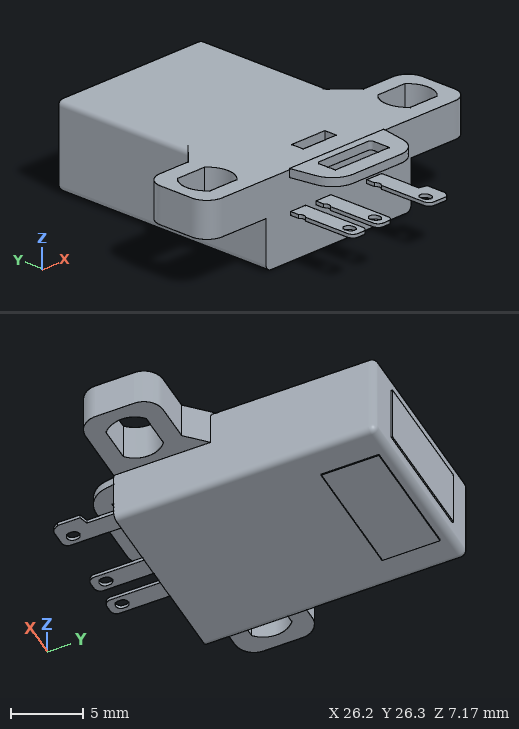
import cadquery as cq
import math


body_width = 14.5
body_length = 20.2
body_height = 6.97
edge_radius = 0.5

ear_span = 26.2
ear_depth = 6.0
ear_thickness = 2.95
ear_corner_radius = 1.5
flare_foot = 8.73
slot_spacing = 20.0
slot_diameter = 4.1
slot_height = 3.1

pocket_width = 3.31
pocket_length = 1.1
pocket_depth = 0.7
pocket_center_y = 2.37

pad_width = 9.52
pad_length = 4.47
pad_thickness = 0.1
rear_pad_z = 1.24
bottom_pad_rear_gap = 0.95

tab_center_x = -0.2
tab_root_width = 9.42
tab_reach = 3.87
tab_thickness = 0.68
tab_rise = 0.1
tab_side_angle = 10
tab_corner_radius = 2.0
window_width = 5.4
window_near_y = -0.68
window_length = 1.8
window_corner_radius = 0.25

terminal_reach = 6.0
terminal_width = 1.5
terminal_thickness = 0.3
terminal_z = 3.5
terminal_radius = 0.5
terminal_embed = 0.25
first_terminal_x = -4.05
terminal_gap = 2.52
wide_terminal_gap = 5.08
eyelet_width = 0.8
eyelet_length = 0.97
eyelet_y = -4.95
notch_start_y = -0.74
notch_length = 0.68
notch_depth = 0.15
shoulder_width = 0.68
shoulder_y = -3.52
shoulder_drop = 0.18
shoulder_bevel_x = 0.35
shoulder_bevel_y = 0.55


def make_body():
    body = cq.Workplane("XY").box(body_width, body_length, body_height, centered=(True, False, False))
    return body.edges("|Y or >Y").fillet(edge_radius)


def make_ears():
    """Flange across the front, flaring at 45 degrees into the flat top of the body."""
    half_span = ear_span / 2
    half_top = body_width / 2 - edge_radius
    flare_end_y = ear_depth + flare_foot - half_top
    outline = [
        (-half_span, 0),
        (half_span, 0),
        (half_span, ear_depth),
        (flare_foot, ear_depth),
        (half_top, flare_end_y),
        (-half_top, flare_end_y),
        (-flare_foot, ear_depth),
        (-half_span, ear_depth),
    ]
    plate_bottom = cq.Workplane("XY").workplane(offset=body_height - ear_thickness)
    plate = plate_bottom.polyline(outline).close().extrude(ear_thickness)
    return plate.edges("|Z and (<X or >X)").fillet(ear_corner_radius)


def make_slots():
    """Round mounting holes with flats at the front and rear."""
    centers = [(side * slot_spacing / 2, ear_depth / 2) for side in (-1, 1)]
    base = cq.Workplane("XY").pushPoints(centers)
    rounds = base.circle(slot_diameter / 2).extrude(body_height)
    flats = base.rect(slot_diameter, slot_height).extrude(body_height)
    return rounds.intersect(flats)


def make_pocket():
    pocket_floor = cq.Workplane("XY").workplane(offset=body_height - pocket_depth)
    return pocket_floor.center(0, pocket_center_y).rect(pocket_width, pocket_length).extrude(pocket_depth)


def make_pads():
    corner_x = -pad_width / 2
    rear = cq.Workplane("XY").box(pad_width, pad_thickness, pad_length, centered=False)
    rear = rear.translate((corner_x, body_length, rear_pad_z))
    bottom = cq.Workplane("XY").box(pad_width, pad_length, pad_thickness, centered=False)
    bottom_pad_y = body_length - bottom_pad_rear_gap - pad_length
    bottom = bottom.translate((corner_x, bottom_pad_y, -pad_thickness))
    return rear.union(bottom)


def make_tab():
    """Tapered tab on the front face, standing slightly above the top of the body."""
    half_root = tab_root_width / 2
    half_tip = half_root - tab_reach * math.tan(math.radians(tab_side_angle))
    outline = [(-half_root, 0), (half_root, 0), (half_tip, -tab_reach), (-half_tip, -tab_reach)]
    tab = cq.Workplane("XY").polyline(outline).close().extrude(tab_thickness)
    tab = tab.edges("|Z and <Y").fillet(tab_corner_radius)
    window = cq.Workplane("XY").center(0, window_near_y - window_length / 2)
    window = window.rect(window_width, window_length).extrude(tab_thickness)
    window = window.edges("|Z and >Y").fillet(window_corner_radius)
    return tab.cut(window).translate((tab_center_x, 0, body_height + tab_rise - tab_thickness))


def make_terminal(center_x, has_shoulder=False):
    """Flat lug with a notch in its left edge, an eyelet and a rounded tip."""
    half = terminal_width / 2
    notch_end_y = notch_start_y - notch_length
    notch_middle = (-half + notch_depth, notch_start_y - notch_length / 2)
    lug = (
        cq.Workplane("XY")
        .moveTo(half, terminal_embed)
        .lineTo(-half, terminal_embed)
        .lineTo(-half, notch_start_y)
        .threePointArc(notch_middle, (-half, notch_end_y))
        .lineTo(-half, -terminal_reach)
    )
    if has_shoulder:
        outer = half + shoulder_width
        lug = (
            lug.lineTo(outer - shoulder_bevel_x, -terminal_reach)
            .lineTo(outer, -terminal_reach + shoulder_bevel_y)
            .lineTo(outer, shoulder_y - shoulder_drop)
            .lineTo(half, shoulder_y)
        )
    else:
        lug = lug.lineTo(half, -terminal_reach)
    lug = lug.close().extrude(terminal_thickness)
    lug = lug.edges("|Z and <Y").fillet(terminal_radius)
    eyelet = cq.Workplane("XY").center(0, eyelet_y).slot2D(eyelet_length, eyelet_width, 90)
    return lug.cut(eyelet.extrude(terminal_thickness)).translate((center_x, 0, terminal_z))


second_terminal_x = first_terminal_x + terminal_gap
third_terminal_x = second_terminal_x + wide_terminal_gap

result = make_body().union(make_ears()).cut(make_slots()).cut(make_pocket())
result = result.union(make_pads()).union(make_tab())
result = result.union(make_terminal(first_terminal_x))
result = result.union(make_terminal(second_terminal_x))
result = result.union(make_terminal(third_terminal_x, has_shoulder=True))